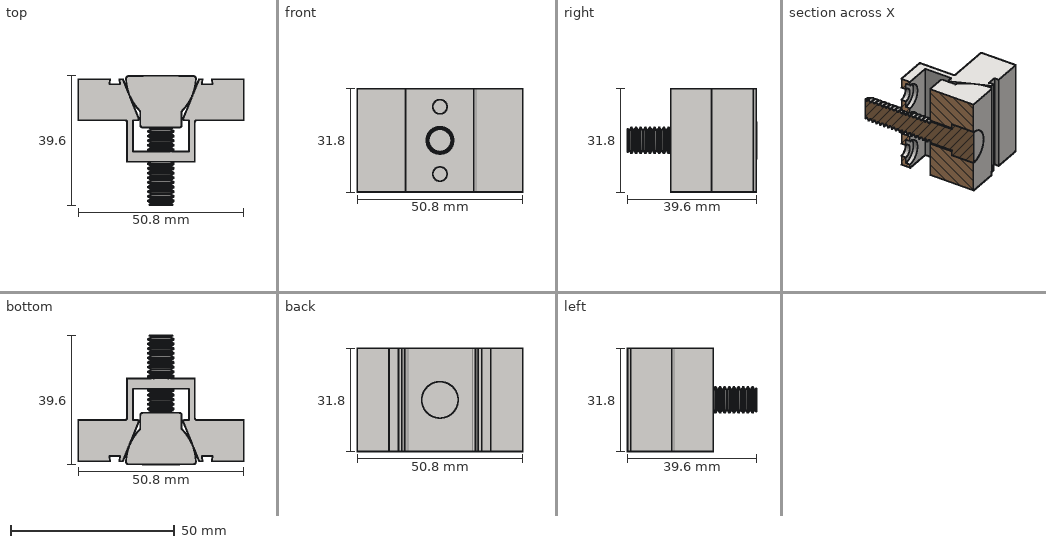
import cadquery as cq
import math


width = 50.8
height = 31.75
housing_depth = 25.4
jaw_depth = 12.7
channel_outer_half = 10.4
channel_inner_half = 8.55
floor_thickness = 3.2
mouth_half = 11.7
throat_half = 6.55
lip_radius = 0.45
corner_radius = 0.5
jaw_back = housing_depth - jaw_depth

slot_centre = 14.15
slot_mouth_width = 2.8
slot_base_width = 3.2
slot_depth = 1.6

screw_hole_diameter = 8.4
side_hole_diameter = 4.35
side_hole_offset = 10.3
side_hole_length = 1.7
side_bore_diameter = 8.4

wedge_front = 26.35
wedge_back = 10.5
wedge_foot_half = 6.35
flank_radius = 14.75
contact_y = 20.45
wedge_front_radius = 0.85
wedge_back_radius = 0.7

thread_diameter = 8.0
thread_pitch = 1.4
thread_depth = 0.85
thread_flank_angle = 30.0
groove_count = 17
crest_flat = thread_pitch / 8
screw_tip = -13.25
tip_chamfer = 0.55
tip_to_groove = 0.55
first_groove = screw_tip + tip_to_groove
head_diameter = 11.2
head_height = 8.05
head_front = 26.4
head_back = head_front - head_height


def cylinder_along_y(diameter, y_start, y_end, z=0.0):
    """Cylinder parallel to Y between two depths, centred on X = 0."""
    axis_start = cq.Vector(0, y_start, z)
    return cq.Workplane(
        cq.Solid.makeCylinder(diameter / 2, y_end - y_start, axis_start, cq.Vector(0, 1, 0))
    )


def extrude_over_height(profile):
    """Extrude an XY profile over the full height, centred on Z = 0."""
    return profile.extrude(height / 2, both=True)


def make_slot(side):
    """Dovetail slot cutter; side is -1 for the left jaw and +1 for the right jaw."""
    centre = side * slot_centre
    profile = cq.Workplane("XY").polyline([
        (centre - slot_mouth_width / 2, housing_depth),
        (centre + slot_mouth_width / 2, housing_depth),
        (centre + slot_base_width / 2, housing_depth - slot_depth),
        (centre - slot_base_width / 2, housing_depth - slot_depth),
    ]).close()
    return extrude_over_height(profile)


def make_housing():
    """Channel with two jaws whose inner faces slope toward each other."""
    right_half = [
        (channel_outer_half, 0),
        (channel_outer_half, jaw_back),
        (width / 2, jaw_back),
        (width / 2, housing_depth),
        (mouth_half, housing_depth),
        (throat_half, jaw_back),
        (channel_inner_half, jaw_back),
        (channel_inner_half, floor_thickness),
    ]
    left_half = [(-x, y) for x, y in reversed(right_half)]
    body = extrude_over_height(cq.Workplane("XY").polyline(right_half + left_half).close())
    for side in (-1, 1):
        lip = cq.NearestToPointSelector((side * throat_half, jaw_back, 0))
        body = body.edges("|Z").edges(lip).fillet(lip_radius)
        corner = cq.NearestToPointSelector((side * channel_outer_half, jaw_back, 0))
        body = body.edges("|Z").edges(corner).fillet(corner_radius)
        body = body.cut(make_slot(side))

    body = body.cut(cylinder_along_y(screw_hole_diameter, 0, floor_thickness))
    for z in (-side_hole_offset, side_hole_offset):
        body = body.cut(cylinder_along_y(side_hole_diameter, 0, side_hole_length, z))
        body = body.cut(cylinder_along_y(side_bore_diameter, side_hole_length, floor_thickness, z))
    return body


def make_wedge():
    """Wedge with convex flanks tangent to the jaw faces, bored for the screw."""
    slope = math.atan2(mouth_half - throat_half, jaw_depth)
    contact_x = throat_half + (contact_y - jaw_back) * math.tan(slope)
    centre_x = contact_x - flank_radius * math.cos(slope)
    centre_y = contact_y + flank_radius * math.sin(slope)
    front_half = centre_x + math.sqrt(flank_radius**2 - (wedge_front - centre_y) ** 2)
    foot_top = centre_y - math.sqrt(flank_radius**2 - (wedge_foot_half - centre_x) ** 2)

    profile = (
        cq.Workplane("XY")
        .moveTo(-wedge_foot_half, wedge_back)
        .lineTo(wedge_foot_half, wedge_back)
        .lineTo(wedge_foot_half, foot_top)
        .threePointArc((contact_x, contact_y), (front_half, wedge_front))
        .lineTo(-front_half, wedge_front)
        .threePointArc((-contact_x, contact_y), (-wedge_foot_half, foot_top))
        .close()
    )
    body = extrude_over_height(profile)
    body = body.faces(">Y").edges("|Z").fillet(wedge_front_radius)
    body = body.faces("<Y").edges("|Z").fillet(wedge_back_radius)

    body = body.cut(cylinder_along_y(screw_hole_diameter, wedge_back, head_back))
    return body.cut(cylinder_along_y(head_diameter, head_back, wedge_front))


def make_thread_groove(y):
    """Ring-shaped thread groove cutter centred at depth y."""
    crest_radius = thread_diameter / 2
    root_radius = crest_radius - thread_depth
    crest_half = (thread_pitch - crest_flat) / 2
    root_half = crest_half - thread_depth * math.tan(math.radians(thread_flank_angle))
    return (
        cq.Workplane("XY")
        .polyline([
            (crest_radius, y - crest_half),
            (crest_radius, y + crest_half),
            (root_radius, y + root_half),
            (root_radius, y - root_half),
        ])
        .close()
        .revolve(360, (0, 0, 0), (0, 1, 0))
    )


def make_screw():
    """Cylindrical-head screw with a ring-grooved thread and a chamfered tip."""
    body = cylinder_along_y(thread_diameter, screw_tip, head_back)
    body = body.faces("<Y").chamfer(tip_chamfer)
    for index in range(groove_count):
        body = body.cut(make_thread_groove(first_groove + index * thread_pitch))
    return body.union(cylinder_along_y(head_diameter, head_back, head_front))


housing = make_housing()
wedge = make_wedge()
screw = make_screw()

result = cq.Compound.makeCompound([housing.val(), wedge.val(), screw.val()])